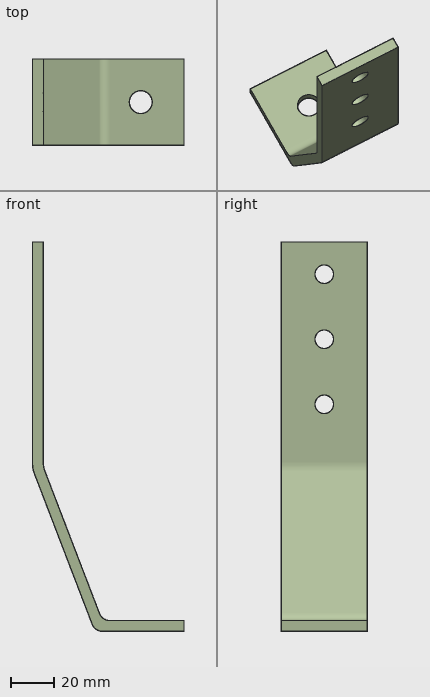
import cadquery as cq
import math

height = 180.0
width = 40.0
foot_reach = 70.0
thickness = 5.0

upper_bend_height = 75.0
foot_corner_x = 28.8
upper_bend_radius = 10.0
foot_bend_radius = 5.0

plate_hole_diameter = 8.5
plate_hole_top_distance = 15.0
plate_hole_pitch = 30.0
plate_hole_count = 3

foot_hole_diameter = 10.5
foot_hole_end_distance = 20.0

slope_angle = math.atan2(foot_corner_x, upper_bend_height)
inner_bend_height = upper_bend_height + thickness * math.tan(slope_angle / 2)
foot_turn = math.pi / 2 - slope_angle
inner_foot_corner_x = foot_corner_x + thickness * math.tan(foot_turn / 2)


def bent_strip():
    """Upright plate, sloping web and foot, with every bend edge rounded."""
    outer_bend = (0, upper_bend_height)
    outer_foot_corner = (foot_corner_x, 0)
    inner_foot_corner = (inner_foot_corner_x, thickness)
    inner_bend = (thickness, inner_bend_height)
    outline = [
        (0, height),
        outer_bend,
        outer_foot_corner,
        (foot_reach, 0),
        (foot_reach, thickness),
        inner_foot_corner,
        inner_bend,
        (thickness, height),
    ]
    strip = cq.Workplane("XZ").polyline(outline).close().extrude(width / 2, both=True)
    bends = [
        (outer_bend, upper_bend_radius),
        (inner_bend, upper_bend_radius),
        (outer_foot_corner, foot_bend_radius),
        (inner_foot_corner, foot_bend_radius),
    ]
    for (x, z), radius in bends:
        strip = strip.edges(cq.selectors.NearestToPointSelector((x, 0, z))).fillet(radius)
    return strip


def plate_holes():
    """Column of cutters through the upright plate along X."""
    top_hole_z = height - plate_hole_top_distance
    centres = [(0, top_hole_z - i * plate_hole_pitch) for i in range(plate_hole_count)]
    return cq.Workplane("YZ").pushPoints(centres).circle(plate_hole_diameter / 2).extrude(thickness)


def foot_hole():
    """Cutter through the foot along Z."""
    hole_x = foot_reach - foot_hole_end_distance
    return cq.Workplane("XY").center(hole_x, 0).circle(foot_hole_diameter / 2).extrude(thickness)


result = bent_strip().cut(plate_holes()).cut(foot_hole())